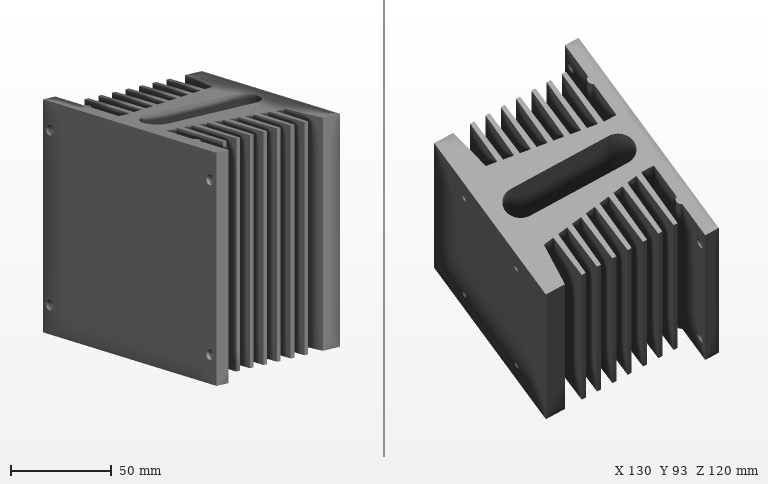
import cadquery as cq

base_width = 130.0
depth = 93.0
height = 120.0

base_thickness = 7.9
flange_half_width = 51.7
flange_tip_y = 81.8
flange_root_y = 78.4

web_half_width_low = 17.3
web_half_width_high = 26.9
web_taper_start_y = 15.2

fin_count = 7
first_fin_y = 16.9
fin_pitch = 9.0
fin_tip_thickness = 2.3
fin_root_thickness = 3.1
fin_root_x = web_half_width_low - 1.3

slot_width = 18.2
slot_bottom_y = 8.8
slot_top_y = 84.1

ridge_diameter = 5.5
ridge_x = 41.1
ridge_top_y = 9.6

base_hole_diameter = 5.5
base_hole_spacing_x = 120.0
base_hole_spacing_z = 90.0

rear_hole_diameter = 4.0
rear_hole_spacing_x = 48.1
rear_hole_spacing_z = 93.0
rear_hole_end_y = 72.3


def make_body():
    """Base, web and flange as one symmetric extrusion."""
    right_side = [
        (base_width / 2, 0),
        (base_width / 2, base_thickness),
        (web_half_width_low, base_thickness),
        (web_half_width_low, web_taper_start_y),
        (web_half_width_high, flange_root_y),
        (flange_half_width, flange_tip_y),
        (flange_half_width, depth),
    ]
    left_side = [(-x, y) for x, y in reversed(right_side)]
    return cq.Workplane("XY").polyline(right_side + left_side).close().extrude(height)


def make_fin(y, side):
    """Tapered fin centred at y; side is +1 or -1 along X."""
    web_x = web_half_width_low + (
        (web_half_width_high - web_half_width_low)
        * (y - web_taper_start_y)
        / (flange_root_y - web_taper_start_y)
    )
    points = [
        (side * fin_root_x, y - fin_root_thickness / 2),
        (side * web_x, y - fin_root_thickness / 2),
        (side * flange_half_width, y - fin_tip_thickness / 2),
        (side * flange_half_width, y + fin_tip_thickness / 2),
        (side * web_x, y + fin_root_thickness / 2),
        (side * fin_root_x, y + fin_root_thickness / 2),
    ]
    return cq.Workplane("XY").polyline(points).close().extrude(height)


def make_ridges():
    """Full-height rods, partly sunk into the base."""
    ridge_y = ridge_top_y - ridge_diameter / 2
    centres = [(-ridge_x, ridge_y), (ridge_x, ridge_y)]
    return cq.Workplane("XY").pushPoints(centres).circle(ridge_diameter / 2).extrude(height)


def make_slot():
    """Slot running the full height of the web."""
    return (
        cq.Workplane("XY")
        .center(0, (slot_bottom_y + slot_top_y) / 2)
        .slot2D(slot_top_y - slot_bottom_y, slot_width, 90)
        .extrude(height)
    )


def make_hole_pattern(diameter, spacing_x, spacing_z, start_y, end_y):
    """Four cylinders along Y in a rectangle centred on the part."""
    return (
        cq.Workplane("XZ", origin=(0, start_y, height / 2))
        .rarray(spacing_x, spacing_z, 2, 2)
        .circle(diameter / 2)
        .extrude(start_y - end_y)
    )


result = make_body()
for index in range(fin_count):
    fin_y = first_fin_y + index * fin_pitch
    for side in (-1, 1):
        result = result.union(make_fin(fin_y, side))
result = result.union(make_ridges())
result = result.cut(make_slot())
result = result.cut(
    make_hole_pattern(base_hole_diameter, base_hole_spacing_x, base_hole_spacing_z, base_thickness, 0)
)
result = result.cut(
    make_hole_pattern(rear_hole_diameter, rear_hole_spacing_x, rear_hole_spacing_z, depth, rear_hole_end_y)
)